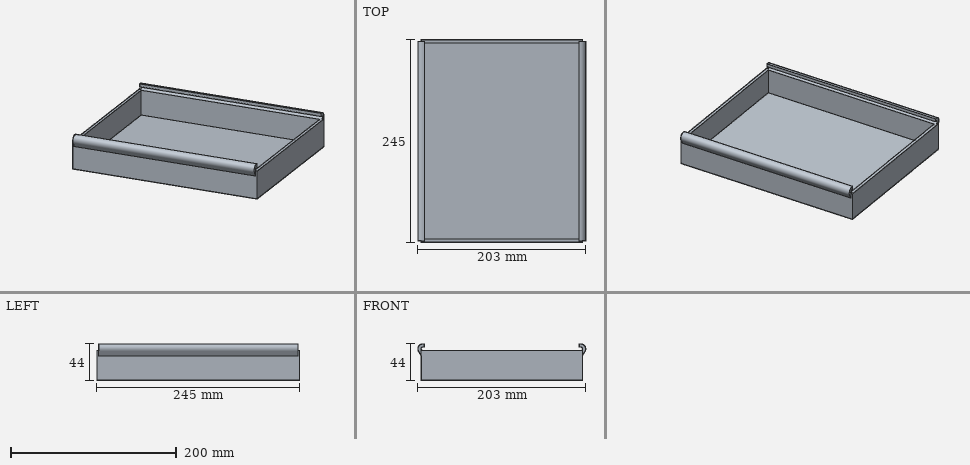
import cadquery as cq
import math

TRAY_WIDTH = 195.0
TRAY_LENGTH = 245.0
TRAY_HEIGHT = 36.0
WALL = 4.0
FLOOR = 4.0

OVERALL_WIDTH = 203.0
RAIL_END_GAP = 2.0
RAIL_THICKNESS = 4.0
GROOVE_RADIUS = 2.0
RAIL_OUTER_RADIUS = GROOVE_RADIUS + RAIL_THICKNESS
LIP_LENGTH = 2.0
LEG_ANGLE = 30.0


def make_tray():
    """Open box with its underside on Z = 0, centred in X and Y."""
    outside = cq.Workplane("XY").box(TRAY_WIDTH, TRAY_LENGTH, TRAY_HEIGHT, centered=(True, True, False))
    cavity = (
        cq.Workplane("XY")
        .workplane(offset=FLOOR)
        .rect(TRAY_WIDTH - 2 * WALL, TRAY_LENGTH - 2 * WALL)
        .extrude(TRAY_HEIGHT)
    )
    return outside.cut(cavity)


def make_left_rail():
    """Rail on the -X side: a flat lip, a round bend and a leg leaning into the tray wall."""
    center_x = -OVERALL_WIDTH / 2 + RAIL_OUTER_RADIUS
    center_z = TRAY_HEIGHT + GROOVE_RADIUS
    lip_x = center_x + LIP_LENGTH
    lip_bottom = center_z + GROOVE_RADIUS
    lip_top = center_z + RAIL_OUTER_RADIUS

    leg_angle = math.radians(LEG_ANGLE)
    bend_end_angle = math.pi + leg_angle
    bend_middle_angle = (math.pi / 2 + bend_end_angle) / 2

    def on_bend(angle):
        return (
            center_x + RAIL_OUTER_RADIUS * math.cos(angle),
            center_z + RAIL_OUTER_RADIUS * math.sin(angle),
        )

    bend_end_x, bend_end_z = on_bend(bend_end_angle)
    leg_end_z = bend_end_z - (center_x - bend_end_x) / math.tan(leg_angle)

    return (
        cq.Workplane("XZ")
        .moveTo(lip_x, lip_top)
        .lineTo(center_x, lip_top)
        .threePointArc(on_bend(bend_middle_angle), (bend_end_x, bend_end_z))
        .lineTo(center_x, leg_end_z)
        .lineTo(center_x, TRAY_HEIGHT)
        .threePointArc((center_x - GROOVE_RADIUS, center_z), (center_x, lip_bottom))
        .lineTo(lip_x, lip_bottom)
        .close()
        .extrude(TRAY_LENGTH / 2 - RAIL_END_GAP, both=True)
    )


left_rail = make_left_rail()
right_rail = left_rail.mirror("YZ")

result = make_tray().union(left_rail).union(right_rail)